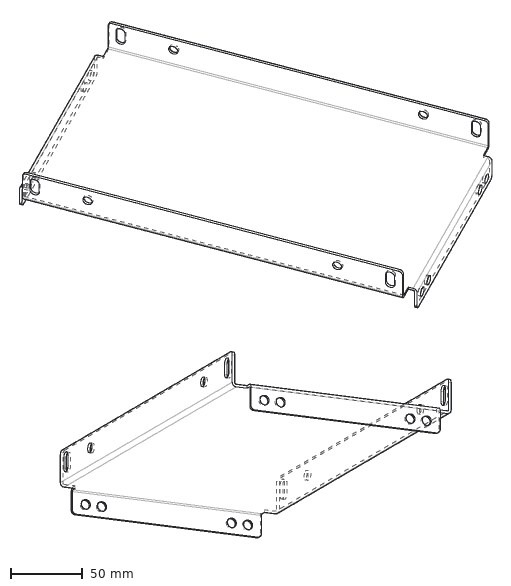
import cadquery as cq

length = 298.0
width = 169.0
thickness = 2.0
inner_bend_radius = 0.98
outer_bend_radius = inner_bend_radius + thickness
corner_radius = 3.0

side_length = 285.0
side_height = 26.0

end_width = 146.0
end_height = 19.0

hole_diameter = 7.0
slot_length = 14.3
slot_offset = 133.2
side_hole_offset = 93.5
side_opening_drop = 10.0
end_hole_offsets = (50.0, 62.5)
end_hole_rise = 8.0

side_opening_z = side_height - side_opening_drop
end_bottom_z = thickness - end_height
end_hole_z = end_bottom_z + end_hole_rise


def folded_channel(span, height, depth):
    """U channel along X: a floor of the given span in Y with both edges folded up."""
    outer = (
        cq.Workplane("XY")
        .box(depth, span, height, centered=(True, True, False))
        .edges("|X and <Z")
        .fillet(outer_bend_radius)
    )
    inner = (
        cq.Workplane("XY")
        .workplane(offset=thickness)
        .box(depth, span - 2 * thickness, height, centered=(True, True, False))
        .edges("|X and <Z")
        .fillet(inner_bend_radius)
    )
    return outer.edges("|Y and >Z").fillet(corner_radius).cut(inner)


side_channel = folded_channel(width, side_height, side_length)

end_channel = (
    folded_channel(length, end_height, end_width)
    .rotate((0, 0, 0), (0, 0, 1), 90)
    .rotate((0, 0, 0), (0, 1, 0), 180)
    .translate((0, 0, thickness))
)

side_slots = (
    cq.Workplane("XZ")
    .pushPoints([(sign * slot_offset, side_opening_z) for sign in (-1, 1)])
    .slot2D(slot_length, hole_diameter, 90)
    .extrude(width, both=True)
)
side_holes = (
    cq.Workplane("XZ")
    .pushPoints([(sign * side_hole_offset, side_opening_z) for sign in (-1, 1)])
    .circle(hole_diameter / 2)
    .extrude(width, both=True)
)

end_holes = (
    cq.Workplane("YZ")
    .pushPoints([(sign * y, end_hole_z) for sign in (-1, 1) for y in end_hole_offsets])
    .circle(hole_diameter / 2)
    .extrude(length, both=True)
)

result = side_channel.union(end_channel).cut(side_slots).cut(side_holes).cut(end_holes)